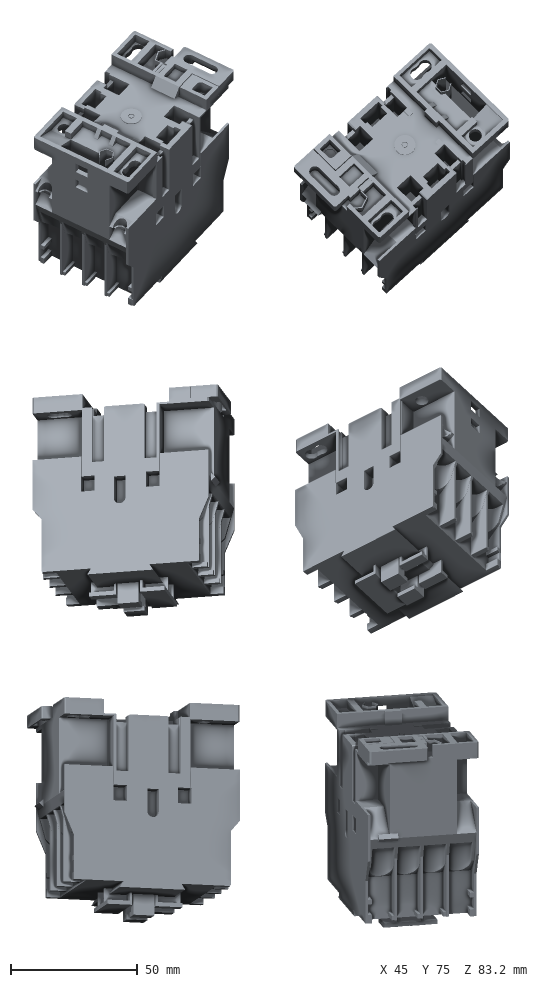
import cadquery as cq
import math


WIDTH = 45.0
DEPTH = 71.3
HEIGHT = 83.2
HALF_WIDTH = WIDTH / 2
HALF_DEPTH = DEPTH / 2
BASE_Z = 10.65
RAIL_Z = 8.3
TOWER_TOP = 77.5
HEAD_UNDERSIDE = 76.6
PLATE_THICKNESS = 1.0
CORE_HALF_WIDTH = HALF_WIDTH - PLATE_THICKNESS
COLUMN_HALF_WIDTH = 13.6
TOWER_HALF_DEPTH = 15.8
HEAD_FRONT_Y = -15.4
HEAD_REAR_Y = 19.55
HEAD_CHAMFER = 0.6

PITCH = 10.5
POLES = 4
APRON_TOP = 46.1
APRON_BOTTOM = 33.7
APRON_ANGLE = 16.0
BACK_WALL_Y = -26.45
APRON_FOOT_Y = -HALF_DEPTH + (APRON_TOP - APRON_BOTTOM) * math.tan(math.radians(APRON_ANGLE))
OVERHANG_BOTTOM = APRON_BOTTOM - (BACK_WALL_Y - APRON_FOOT_Y)
SCALLOP_RADIUS = 4.7
SCALLOP_Y = -31.4
SCALLOP_TOP = 41.9
FIN_THICKNESS = 1.0
FIN_BOTTOM = 11.6
FRONT_FIN_REACH = 33.95
REAR_FIN_REACH = 33.0
FIN_FOOT_WIDTH = 1.1
FIN_FOOT_SETBACK = 0.4
FIN_FOOT_TOP = 13.4
STOP_WIDTH = 1.6
LOW_STOP = (BASE_Z, 13.6)
RIGHT_STOP_TOP = 14.1
HIGH_STOP = (18.5, 20.4)

FRONT_PLATFORM_Z = 57.3
REAR_PLATFORM_Z = 56.4
NOSE_DEPTH = 4.3
NOSE_TIP_DROP = 3.8
NOSE_UNDERCUT_DROP = 6.7
NOSE_FOOT_RISE = 3.75
REAR_SLOPE_START = 25.4
SCREW_X = 17.8
SCREW_Y = -34.5
SCREW_RADIUS = 2.8
SCREW_PILOT_RADIUS = 2.2
SCREW_DEPTH = 4.5
PANEL_RECESS = 0.25
PANEL_X = (13.9, 21.0)

FRONT_PLATE_REACH = 31.95
REAR_PLATE_REACH = 31.8
FRONT_PLATE_CORNERS = [(-HALF_DEPTH, 36.85), (-FRONT_PLATE_REACH, 32.6), (-FRONT_PLATE_REACH, 11.1),
                       (-31.5, BASE_Z)]
REAR_PLATE_CORNERS = [(REAR_PLATE_REACH, BASE_Z), (REAR_PLATE_REACH, 28.2), (HALF_DEPTH, 37.2)]
DOVETAIL = [(-12.0, BASE_Z), (-13.4, RAIL_Z), (13.15, RAIL_Z), (11.7, BASE_Z)]
CHANNEL_HALF_WIDTH = 4.3
CHANNEL_RUN = 3.25
FACET_X = (14.2, 22.3)
FACET_Z = 9.0
RELIEF_X = (21.55, 22.0)
SLIT_WIDTH = 0.25
WINDOW_Z = (42.85, 49.1)
FRONT_WINDOW_Y = (-16.0, -10.5)
REAR_WINDOW_Y = (10.2, 15.7)
WINDOW_DEPTH = 5.4
KEYWAY_Y = -0.3
KEYWAY_WIDTH = 4.7
KEYWAY_Z = (36.85, 48.1)

GROOVE_DEPTH = 2.8
GROOVE_BOTTOM = 54.75
KEY_SLOT_X = (20.3, 22.1)
KEY_SLOT_DEPTH = 0.7
LIP_RUN = 0.6
LIP_DROP = 0.3
SILL_TOP = 74.7
POCKET_X = (10.6, 18.05)
POCKET_BOTTOM = 58.2
REAR_GROOVE_Y = (9.65, 14.6)
REAR_POCKET_Y = (7.15, 14.6)
FRONT_GROOVE_Y = (-11.5, -6.65)
FRONT_POCKET_Y = (-11.5, -6.0)
SIDE_POCKET = [(20.3, 4.9), (17.3, 4.9), (17.3, 4.0), (14.4, 4.0),
               (14.4, -4.2), (18.05, -4.2), (18.05, -5.1), (20.3, -5.1)]
RAISED = 0.3
DISC_RADIUS = 4.2
DIMPLE_RADIUS = 1.25
DIMPLE_PIN_RADIUS = 0.9
PAD_X = (7.4, 10.6)
PAD_Y = (-11.5, -9.5)
TAB_X = (-3.3, 3.4)
TAB_DEPTH = 1.4

FRONT_RIM = 1.9
REAR_RIM = 1.7
FRONT_FLOOR = 79.9
RIM_FRONT_Y = -HALF_DEPTH + FRONT_RIM
HEAD_POCKET_Y = -17.3
STEP_Y = -25.8
LEFT_BOX_X = (-20.6, -14.15)
MIDDLE_BOX_X = (-11.3, 11.5)
RIGHT_BOX_X = (14.15, 21.05)
WELL_FLOOR = 64.9
RAMP_TOP = 82.6
LEFT_HOLE = (-16.9, -22.2, 2.6)
GUSSET_CENTRES = (-3.5, 3.6)
GUSSET_THICKNESS = 1.8
GUSSET_RUN = 2.75
NUT_CENTRE = (6.3, -27.1)
NUT_SIZE = 6.5
NUT_WALL = 0.3
NUT_TOP = 82.6
NUT_MOUTH = 2.8
NOTCH_X = (-2.4, 3.2)
NOTCH_LEVELS = ((75.1, 79.7), (66.6, 70.8))

BONE_X = 17.6
BONE_LENGTH = 9.7
BONE_RADIUS = 2.6
BONE_WAIST = 4.5
FRONT_BONE_Y = -25.8
REAR_BONE_Y = 28.95

REAR_FLOOR = 79.0
REAR_POCKET_START = 21.1
REAR_LEFT_X = (-20.9, -14.15)
REAR_WELL_X = (-11.3, -4.0)
REAR_RIM_Y = HALF_DEPTH - REAR_RIM
ARROW_OUTER = [(-6.7, REAR_RIM_Y), (-8.6, 31.5), (-6.8, 26.9), (-3.0, 26.9)]
ARROW_INNER = [(-3.0, 27.3), (-6.6, 27.3), (-8.1, 31.5), (-6.2, REAR_RIM_Y)]
ARROW_TOP = 82.8
LEDGE_LEFT = -3.0
LEDGE_DROP = 0.4
SLIT_LEFT = -1.5
REAR_RIGHT_BOX = (14.5, 20.7, 21.1, 26.6)
REAR_RIGHT_FLOOR = 77.5
REAR_HOLE_BOTTOM = 77.0
REAR_RIGHT_CORNER = 1.7
REAR_HOLE = (17.55, 24.05, 2.4)
BARB_X = (10.4, 18.3)
BARB_Z = (44.9, 48.1)
BARB_REACH = 1.7

LATCH_BOTTOM = 78.2
LATCH_REACH = 3.7
LATCH_CHAMFER = 0.5
LATCH_LEFT = -1.2
LATCH_STEM_RIGHT = 9.65
LATCH_TONGUE_Y = 28.6
LATCH_CLEARANCE = 0.3
LATCH_EAR_LEFT = -2.4
LATCH_EAR_Y = (27.1, 32.1)
LATCH_SLOT_X = (2.0, 17.4)
LATCH_SLOT_Y = (32.4, 36.85)
LATCH_FLARE_HEIGHT = 2.5
LATCH_FLARE_RUN = 1.7
LATCH_POCKET = (1.2, 7.0, 21.1, 29.2)
LATCH_POCKET_DEPTH = 2.75
WEDGE_X = (-1.5, 9.65)
WEDGE = [(HEAD_REAR_Y, HEIGHT), (16.2, 79.3), (HEAD_REAR_Y, 78.1)]

HOOK_X = (4.3, 8.5)
HOOK_Y = (-4.5, 3.9)
HOOK_TOE_X = 2.3
HOOK_TOE_HEIGHT = 1.9
BRACKET_WALL = 0.9
FRONT_BRACKET_Y = (-16.0, -5.1)
FRONT_BRACKET_BOTTOM = 3.8
REAR_BRACKET_Y = (5.2, 15.15)
REAR_BRACKET_BOTTOM = 3.5
REAR_BRACKET_HALF_WIDTH = 10.7
BRACKET_FLOOR = 1.7


def box(x, y, z):
    """Block between the two limits given for each axis."""
    return (cq.Workplane("XY", origin=(0, 0, z[0]))
            .moveTo(x[0], y[0]).lineTo(x[1], y[0]).lineTo(x[1], y[1]).lineTo(x[0], y[1]).close()
            .extrude(z[1] - z[0]))


def prism_x(points, x):
    """Prism along X with an outline of (Y, Z) points."""
    return cq.Workplane("YZ", origin=(x[0], 0, 0)).polyline(points).close().extrude(x[1] - x[0])


def prism_z(points, z):
    """Prism along Z with an outline of (X, Y) points."""
    return cq.Workplane("XY", origin=(0, 0, z[0])).polyline(points).close().extrude(z[1] - z[0])


def rod(x, y, radius, z):
    """Upright cylinder."""
    return cq.Workplane("XY", origin=(x, y, z[0])).circle(radius).extrude(z[1] - z[0])


def both_sides(shape):
    """The shape together with its mirror image in X."""
    return shape.union(shape.mirror("YZ"))


def at_rear(shape):
    """A front feature carried to the rear."""
    return shape.mirror("XZ")


def end_half(platform_z):
    """Front half of the inner block: back wall, overhang, apron, column and corner platforms."""
    outline = [(0, BASE_Z), (BACK_WALL_Y, BASE_Z), (BACK_WALL_Y, OVERHANG_BOTTOM),
               (APRON_FOOT_Y, APRON_BOTTOM), (-HALF_DEPTH, APRON_TOP),
               (-HALF_DEPTH, HEAD_UNDERSIDE), (0, HEAD_UNDERSIDE)]
    half = prism_x(outline, (-CORE_HALF_WIDTH, CORE_HALF_WIDTH))
    corner_x = (COLUMN_HALF_WIDTH, HALF_WIDTH)
    half = half.cut(both_sides(box(corner_x, (-HALF_DEPTH, -TOWER_HALF_DEPTH), (platform_z, HEAD_UNDERSIDE))))
    panel_y = (-TOWER_HALF_DEPTH, -TOWER_HALF_DEPTH + PANEL_RECESS)
    return half.cut(both_sides(box(PANEL_X, panel_y, (platform_z, HEAD_UNDERSIDE))))


def front_nose_cuts():
    """Sloped, undercut noses of the front coil terminals with their screw holes."""
    corner_x = (COLUMN_HALF_WIDTH, HALF_WIDTH)
    inner_y = -HALF_DEPTH + NOSE_DEPTH
    tip_z = FRONT_PLATFORM_Z - NOSE_TIP_DROP
    undercut_z = FRONT_PLATFORM_Z - NOSE_UNDERCUT_DROP
    seat_z = FRONT_PLATFORM_Z - SCREW_DEPTH
    slope_above_tip = [(-HALF_DEPTH, tip_z), (inner_y, FRONT_PLATFORM_Z), (-HALF_DEPTH, FRONT_PLATFORM_Z)]
    notch_below_tip = [(-HALF_DEPTH, tip_z), (inner_y, undercut_z),
                       (inner_y, APRON_TOP + NOSE_FOOT_RISE), (-HALF_DEPTH, APRON_TOP)]
    cuts = prism_x(slope_above_tip, corner_x).union(prism_x(notch_below_tip, corner_x))
    cuts = cuts.union(rod(SCREW_X, SCREW_Y, SCREW_RADIUS, (seat_z, FRONT_PLATFORM_Z)))
    return both_sides(cuts.union(rod(SCREW_X, SCREW_Y, SCREW_PILOT_RADIUS, (undercut_z, seat_z))))


def rear_slope_cuts():
    """Plain slopes from the rear platforms down to the apron."""
    outline = [(REAR_SLOPE_START, REAR_PLATFORM_Z), (HALF_DEPTH, REAR_PLATFORM_Z), (HALF_DEPTH, APRON_TOP)]
    return both_sides(prism_x(outline, (COLUMN_HALF_WIDTH, CORE_HALF_WIDTH)))


def scallops():
    """Round-backed wire entries cut up into the apron, one per pole."""
    cutter = cq.Workplane("XY")
    for pole in range(POLES):
        x = (pole - (POLES - 1) / 2) * PITCH
        cutter = cutter.union(rod(x, SCALLOP_Y, SCALLOP_RADIUS, (BASE_Z, SCALLOP_TOP)))
        mouth_x = (x - SCALLOP_RADIUS, x + SCALLOP_RADIUS)
        cutter = cutter.union(box(mouth_x, (-HALF_DEPTH, SCALLOP_Y), (BASE_Z, SCALLOP_TOP)))
    return cutter


def fins(reach, stop_reach):
    """Dividers between the poles, each with a foot along one side, and ledges on the side plates."""
    parts = cq.Workplane("XY")
    for gap in range(1, POLES):
        x = (gap - POLES / 2) * PITCH - FIN_THICKNESS / 2
        fin_x = (x, x + FIN_THICKNESS)
        lean = math.tan(math.radians(APRON_ANGLE))
        meet_z = APRON_TOP - (HALF_DEPTH - reach) / lean
        outline = [(-reach, FIN_BOTTOM), (-reach, meet_z), (BACK_WALL_Y, meet_z), (BACK_WALL_Y, FIN_BOTTOM)]
        parts = parts.union(prism_x(outline, fin_x))
        foot_x = (fin_x[1], fin_x[1] + FIN_FOOT_WIDTH)
        foot_y = (-reach + FIN_FOOT_SETBACK, BACK_WALL_Y)
        parts = parts.union(box(foot_x, foot_y, (FIN_BOTTOM, FIN_FOOT_TOP)))
    stop_x = (CORE_HALF_WIDTH - STOP_WIDTH, CORE_HALF_WIDTH)
    stop_y = (-stop_reach, BACK_WALL_Y)
    for stop_z in (LOW_STOP, HIGH_STOP):
        parts = parts.union(both_sides(box(stop_x, stop_y, stop_z)))
    parts = parts.union(box(stop_x, stop_y, (BASE_Z, RIGHT_STOP_TOP)))
    return parts


def side_plates():
    """Plates closing both sides of the terminals and carrying the dovetail ends."""
    outline = [(-HALF_DEPTH, FRONT_PLATFORM_Z), *FRONT_PLATE_CORNERS, *REAR_PLATE_CORNERS,
               (HALF_DEPTH, REAR_PLATFORM_Z), (0, REAR_PLATFORM_Z), (0, FRONT_PLATFORM_Z)]
    plates = both_sides(prism_x(outline, (CORE_HALF_WIDTH, HALF_WIDTH)))
    slit_x = (CORE_HALF_WIDTH, HALF_WIDTH)
    slit_y = (-TOWER_HALF_DEPTH, -TOWER_HALF_DEPTH + SLIT_WIDTH)
    slit = both_sides(box(slit_x, slit_y, (WINDOW_Z[1], HEIGHT)))
    tower_y = (slit_y[0], -slit_y[0])
    plates = plates.cut(box(RELIEF_X, (-HALF_DEPTH, BACK_WALL_Y), (RIGHT_STOP_TOP, HIGH_STOP[0])))
    return plates.union(both_sides(box(slit_x, tower_y, (BASE_Z, TOWER_TOP)))).cut(slit).cut(at_rear(slit))


def dovetail():
    """Dovetailed rail seat with a central channel and two upright facets at its front end."""
    foot = prism_x(DOVETAIL, (-HALF_WIDTH, HALF_WIDTH))
    front_y = DOVETAIL[1][0]
    channel = [(front_y, BASE_Z), (front_y, RAIL_Z), (front_y + CHANNEL_RUN, RAIL_Z)]
    foot = foot.cut(prism_x(channel, (-CHANNEL_HALF_WIDTH, CHANNEL_HALF_WIDTH)))
    top_y = DOVETAIL[0][0]
    facet_y = top_y + (front_y - top_y) * (BASE_Z - FACET_Z) / (BASE_Z - RAIL_Z)
    facet = [(top_y, BASE_Z), (facet_y, FACET_Z), (top_y, FACET_Z)]
    return foot.cut(both_sides(prism_x(facet, FACET_X)))


def heads():
    """Front and rear head blocks with chamfered outer corners, and the tab on the front one."""
    head_z = (HEAD_UNDERSIDE, HEIGHT)
    full_x = (-HALF_WIDTH, HALF_WIDTH)
    front = box(full_x, (-HALF_DEPTH, HEAD_FRONT_Y), head_z).edges("|Z and <Y").chamfer(HEAD_CHAMFER)
    rear = box(full_x, (HEAD_REAR_Y, HALF_DEPTH), head_z).edges("|Z and >Y").chamfer(HEAD_CHAMFER)
    tab = box(TAB_X, (HEAD_FRONT_Y, HEAD_FRONT_Y + TAB_DEPTH), head_z)
    return front.union(rear).union(tab)


def tower_cuts():
    """Grooves, pockets, windows and keyways of both sides, and one rear key slot on the left."""
    groove_x = (HALF_WIDTH - GROOVE_DEPTH, HALF_WIDTH)
    cuts = cq.Workplane("XY")
    for groove_y, pocket_y in ((REAR_GROOVE_Y, REAR_POCKET_Y), (FRONT_GROOVE_Y, FRONT_POCKET_Y)):
        cuts = cuts.union(box(groove_x, groove_y, (GROOVE_BOTTOM, TOWER_TOP)))
        cuts = cuts.union(box((POCKET_X[1], HALF_WIDTH), groove_y, (SILL_TOP, TOWER_TOP)))
        cuts = cuts.union(box(POCKET_X, pocket_y, (POCKET_BOTTOM, TOWER_TOP)))
    cuts = cuts.union(prism_z(SIDE_POCKET, (POCKET_BOTTOM, TOWER_TOP)))
    lip_x = (POCKET_X[1], HALF_WIDTH)
    for edge_y, run in ((REAR_GROOVE_Y[0], -LIP_RUN), (FRONT_GROOVE_Y[1], LIP_RUN)):
        bevel = [(edge_y, TOWER_TOP), (edge_y + run, TOWER_TOP), (edge_y, TOWER_TOP - LIP_DROP)]
        cuts = cuts.union(prism_x(bevel, lip_x))
    front_slot_y = (FRONT_GROOVE_Y[0] - KEY_SLOT_DEPTH, FRONT_GROOVE_Y[0])
    cuts = cuts.union(box(KEY_SLOT_X, front_slot_y, (GROOVE_BOTTOM, TOWER_TOP)))
    window_x = (HALF_WIDTH - WINDOW_DEPTH, HALF_WIDTH)
    for window_y in (FRONT_WINDOW_Y, REAR_WINDOW_Y):
        cuts = cuts.union(box(window_x, window_y, WINDOW_Z))
    radius = KEYWAY_WIDTH / 2
    arc_z = KEYWAY_Z[0] + radius
    keyway = (cq.Workplane("YZ", origin=(window_x[0], KEYWAY_Y, 0))
              .moveTo(-radius, KEYWAY_Z[1]).lineTo(-radius, arc_z)
              .threePointArc((0, KEYWAY_Z[0]), (radius, arc_z)).lineTo(radius, KEYWAY_Z[1]).close()
              .extrude(WINDOW_DEPTH))
    rear_slot_y = (REAR_GROOVE_Y[1], REAR_GROOVE_Y[1] + KEY_SLOT_DEPTH)
    rear_slot = box(KEY_SLOT_X, rear_slot_y, (GROOVE_BOTTOM, TOWER_TOP)).mirror("YZ")
    return both_sides(cuts.union(keyway)).union(rear_slot)


def raised_details():
    """Plunger disc with its ring-shaped dimple, and two small pads."""
    raised_z = (TOWER_TOP, TOWER_TOP + RAISED)
    disc = rod(0, 0, DISC_RADIUS, raised_z).cut(rod(0, 0, DIMPLE_RADIUS, raised_z))
    disc = disc.union(rod(0, 0, DIMPLE_PIN_RADIUS, raised_z))
    return disc.union(both_sides(box(PAD_X, PAD_Y, raised_z)))


def dog_bone(centre_y):
    """Screwdriver hole with two round ends and a narrower waist."""
    hole_z = (HEAD_UNDERSIDE, HEIGHT)
    offset = BONE_LENGTH / 2 - BONE_RADIUS
    waist_x = (BONE_X - BONE_WAIST / 2, BONE_X + BONE_WAIST / 2)
    hole = box(waist_x, (centre_y - offset, centre_y + offset), hole_z)
    for end_y in (centre_y - offset, centre_y + offset):
        hole = hole.union(rod(BONE_X, end_y, BONE_RADIUS, hole_z))
    return hole


def front_head_cuts():
    """Three pockets, the ramp and deep well in the middle, screwdriver holes and front windows."""
    floor_z = (FRONT_FLOOR, HEIGHT)
    long_y = (RIM_FRONT_Y, HEAD_POCKET_Y)
    cuts = box(RIGHT_BOX_X, long_y, floor_z).union(dog_bone(FRONT_BONE_Y))
    cuts = cuts.union(box(LEFT_BOX_X, (STEP_Y, HEAD_POCKET_Y), floor_z))
    cuts = cuts.union(box(MIDDLE_BOX_X, long_y, floor_z))
    cuts = cuts.union(box(MIDDLE_BOX_X, (RIM_FRONT_Y, STEP_Y), (WELL_FLOOR, HEIGHT)))
    above_ramp = [(STEP_Y, HEIGHT), (STEP_Y, FRONT_FLOOR), (RIM_FRONT_Y, RAMP_TOP), (RIM_FRONT_Y, HEIGHT)]
    ramp = prism_x(above_ramp, (LEFT_BOX_X[0], MIDDLE_BOX_X[0]))
    hole_x, hole_y, hole_radius = LEFT_HOLE
    cuts = cuts.union(ramp).union(rod(hole_x, hole_y, hole_radius, (HEAD_UNDERSIDE, HEIGHT)))
    for notch_z in NOTCH_LEVELS:
        cuts = cuts.union(box(NOTCH_X, (-HALF_DEPTH, RIM_FRONT_Y), notch_z))
    return cuts


def gussets():
    """Two triangular ribs against the inner wall of the front head."""
    toe_y = HEAD_POCKET_Y - GUSSET_RUN
    outline = [(HEAD_POCKET_Y, FRONT_FLOOR), (HEAD_POCKET_Y, HEIGHT), (toe_y, FRONT_FLOOR)]
    ribs = cq.Workplane("XY")
    for centre in GUSSET_CENTRES:
        ribs = ribs.union(prism_x(outline, (centre - GUSSET_THICKNESS / 2, centre + GUSSET_THICKNESS / 2)))
    return ribs


def hexagon(size, z):
    """Upright hexagonal prism at the nut holder, with the given size across corners."""
    return cq.Workplane("XY", origin=(*NUT_CENTRE, z[0])).polygon(6, size).extrude(z[1] - z[0])


def add_nut_holder(housing):
    """Thin hexagonal sleeve in the well, open towards the front."""
    x, y = NUT_CENTRE
    sleeve = hexagon(NUT_SIZE, (WELL_FLOOR, NUT_TOP))
    bore = hexagon(NUT_SIZE - 2 * NUT_WALL, (WELL_FLOOR, HEIGHT))
    mouth = box((x - NUT_MOUTH / 2, x + NUT_MOUTH / 2), (y - NUT_SIZE / 2, y), (WELL_FLOOR, NUT_TOP))
    return housing.union(sleeve).cut(bore).cut(mouth)


def rear_head_cuts():
    """Pockets of the rear head and the room for the latch."""
    cuts = box(REAR_LEFT_X, (REAR_POCKET_START, REAR_RIM_Y), (REAR_FLOOR, HEIGHT))
    cuts = cuts.union(dog_bone(REAR_BONE_Y).mirror("YZ"))
    well_y = (REAR_POCKET_START, REAR_RIM_Y)
    cuts = cuts.union(box(REAR_WELL_X, well_y, (LATCH_BOTTOM, HEIGHT)))
    x0, x1, y0, y1 = REAR_RIGHT_BOX
    corner = box((x0, x1), (y0, y1), (REAR_RIGHT_FLOOR, HEIGHT))
    cuts = cuts.union(corner.edges("|Z and <X and >Y").fillet(REAR_RIGHT_CORNER))
    hole_x, hole_y, hole_radius = REAR_HOLE
    cuts = cuts.union(rod(hole_x, hole_y, hole_radius, (REAR_HOLE_BOTTOM, HEIGHT)))
    latch_z = (LATCH_BOTTOM, HEIGHT)
    stem_right = LATCH_STEM_RIGHT + LATCH_CLEARANCE
    cuts = cuts.union(box((LATCH_LEFT, stem_right), (HEAD_REAR_Y, HALF_DEPTH), latch_z))
    cuts = cuts.union(box((SLIT_LEFT, LATCH_LEFT), (REAR_POCKET_START, HALF_DEPTH), latch_z))
    ledge_y = (REAR_POCKET_START, HALF_DEPTH)
    cuts = cuts.union(box((LEDGE_LEFT, LATCH_LEFT), ledge_y, (HEIGHT - LEDGE_DROP, HEIGHT)))
    cuts = cuts.union(box((REAR_WELL_X[1], LATCH_LEFT), (ARROW_OUTER[-1][1], HALF_DEPTH), latch_z))
    tongue_y = (LATCH_TONGUE_Y - LATCH_CLEARANCE, HALF_DEPTH)
    return cuts.union(box((LATCH_LEFT, HALF_WIDTH), tongue_y, latch_z))


def arrow_wall():
    """Thin arrow-shaped wall standing in the rear well, open towards the latch."""
    return prism_z(ARROW_OUTER + ARROW_INNER, (LATCH_BOTTOM, ARROW_TOP))


def barb():
    """Small pointed catch on the rear face."""
    tip = (HALF_DEPTH + BARB_REACH, (BARB_Z[0] + BARB_Z[1]) / 2)
    return prism_x([(HALF_DEPTH, BARB_Z[0]), tip, (HALF_DEPTH, BARB_Z[1])], BARB_X)


def make_housing():
    front = end_half(FRONT_PLATFORM_Z).cut(front_nose_cuts()).cut(scallops())
    front = front.union(fins(FRONT_FIN_REACH, FRONT_PLATE_REACH))
    rear = end_half(REAR_PLATFORM_Z).cut(scallops()).union(fins(REAR_FIN_REACH, REAR_PLATE_REACH))
    rear = at_rear(rear).cut(rear_slope_cuts())
    housing = front.union(rear).union(side_plates()).union(dovetail())
    deck_y = (HEAD_FRONT_Y, HEAD_REAR_Y)
    housing = housing.union(box((-HALF_WIDTH, HALF_WIDTH), deck_y, (HEAD_UNDERSIDE, TOWER_TOP)))
    housing = housing.union(heads()).cut(tower_cuts()).union(raised_details())
    housing = housing.cut(front_head_cuts()).union(gussets())
    housing = add_nut_holder(housing)
    return housing.cut(rear_head_cuts()).union(arrow_wall()).union(barb())


def make_latch():
    """Sliding latch: T-shaped plate with a slotted tongue, a side ear and a wedge nose."""
    latch_z = (LATCH_BOTTOM, HEIGHT)
    latch = box((LATCH_LEFT, LATCH_STEM_RIGHT), (HEAD_REAR_Y, LATCH_TONGUE_Y), latch_z)
    tongue = box((LATCH_LEFT, HALF_WIDTH), (LATCH_TONGUE_Y, HALF_DEPTH + LATCH_REACH), latch_z)
    tongue = tongue.edges("|Z and >Y").chamfer(LATCH_CHAMFER)
    latch = latch.union(tongue).union(box((LATCH_EAR_LEFT, LATCH_LEFT), LATCH_EAR_Y, latch_z))
    slot_radius = (LATCH_SLOT_Y[1] - LATCH_SLOT_Y[0]) / 2
    slot_length = LATCH_SLOT_X[1] - LATCH_SLOT_X[0]
    slot_centre = (sum(LATCH_SLOT_X) / 2, sum(LATCH_SLOT_Y) / 2, LATCH_BOTTOM)
    slot = (cq.Workplane("XY", origin=slot_centre).slot2D(slot_length, 2 * slot_radius)
            .extrude(HEIGHT - LATCH_BOTTOM))
    flare_x = (LATCH_SLOT_X[0] + slot_radius, LATCH_SLOT_X[1] - slot_radius)
    flare = [(LATCH_SLOT_Y[1], LATCH_BOTTOM), (LATCH_SLOT_Y[1] + LATCH_FLARE_RUN, LATCH_BOTTOM),
             (LATCH_SLOT_Y[1], LATCH_BOTTOM + LATCH_FLARE_HEIGHT)]
    slot = slot.union(prism_x(flare, flare_x))
    x0, x1, y0, y1 = LATCH_POCKET
    pocket = box((x0, x1), (y0, y1), (HEIGHT - LATCH_POCKET_DEPTH, HEIGHT))
    return latch.cut(slot).cut(pocket).union(prism_x(WEDGE, WEDGE_X))


def make_rail_hook(side):
    """Post under the dovetail with a toe turned towards the middle; side is -1 or 1."""
    post = box(HOOK_X, HOOK_Y, (0, RAIL_Z))
    hook = post.union(box((HOOK_TOE_X, HOOK_X[0]), HOOK_Y, (0, HOOK_TOE_HEIGHT)))
    return hook if side > 0 else hook.mirror("YZ")


def make_front_bracket(side):
    """Floor, end wall and upright web in front of one rail hook; side is -1 or 1."""
    y0, y1 = FRONT_BRACKET_Y
    bottom = FRONT_BRACKET_BOTTOM
    bracket = box(HOOK_X, (y0, y1), (bottom, bottom + BRACKET_FLOOR))
    bracket = bracket.union(box(HOOK_X, (y1 - BRACKET_WALL, y1), (bottom, RAIL_Z)))
    web_x = (HOOK_X[0], HOOK_X[0] + BRACKET_WALL)
    bracket = bracket.union(box(web_x, (y0, y1), (bottom, BASE_Z))).cut(dovetail())
    return bracket if side > 0 else bracket.mirror("YZ")


def make_rear_bracket():
    """Full-width bracket behind the rail hooks with two upright webs."""
    y0, y1 = REAR_BRACKET_Y
    bottom = REAR_BRACKET_BOTTOM
    full_x = (-REAR_BRACKET_HALF_WIDTH, REAR_BRACKET_HALF_WIDTH)
    bracket = box(full_x, (y0, y1), (bottom, bottom + BRACKET_FLOOR))
    bracket = bracket.union(box(full_x, (y0, y0 + BRACKET_WALL), (bottom, RAIL_Z)))
    web_x = (HOOK_X[0], HOOK_X[0] + BRACKET_WALL)
    return bracket.union(both_sides(box(web_x, (y0, y1), (bottom, BASE_Z)))).cut(dovetail())


SIDES = (-1, 1)
housing = make_housing()
latch = make_latch()
rail_hooks = [make_rail_hook(side) for side in SIDES]
front_brackets = [make_front_bracket(side) for side in SIDES]
rear_bracket = make_rear_bracket()

result = cq.Compound.makeCompound([
    housing.solids().val(),
    latch.solids().val(),
    *[hook.solids().val() for hook in rail_hooks],
    *[bracket.solids().val() for bracket in front_brackets],
    rear_bracket.solids().val(),
])